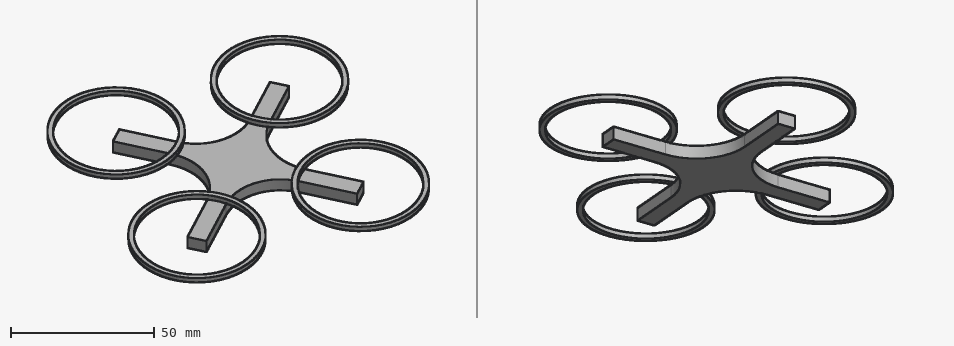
import cadquery as cq
import math

overall_size = 111.6
ring_outer_radius = 24.0
ring_inner_radius = 22.0
ring_height = 2.0
arm_width = 7.0
frame_height = 5.0
hub_fillet_radius = 20.0

ring_offset = overall_size / 2 - ring_outer_radius
arm_span = 2 * ring_offset * math.sqrt(2)


def make_bar(angle):
    """Straight bar through the centre, forming two opposite arms."""
    bar = cq.Workplane("XY").rect(arm_span, arm_width).extrude(frame_height)
    return bar.rotate((0, 0, 0), (0, 0, 1), angle)


def make_frame():
    """Crossed arms whose inner corners are rounded into a concave hub."""
    cross = make_bar(45).union(make_bar(-45))
    inner_corners = cq.selectors.BoxSelector(
        (-arm_width, -arm_width, 0),
        (arm_width, arm_width, frame_height),
    )
    return cross.edges("|Z").edges(inner_corners).fillet(hub_fillet_radius)


def make_rings():
    """Four propeller guards resting on top of the arms."""
    return (
        cq.Workplane("XY")
        .workplane(offset=frame_height)
        .rect(2 * ring_offset, 2 * ring_offset, forConstruction=True)
        .vertices()
        .circle(ring_outer_radius)
        .circle(ring_inner_radius)
        .extrude(ring_height)
    )


result = make_frame().union(make_rings())